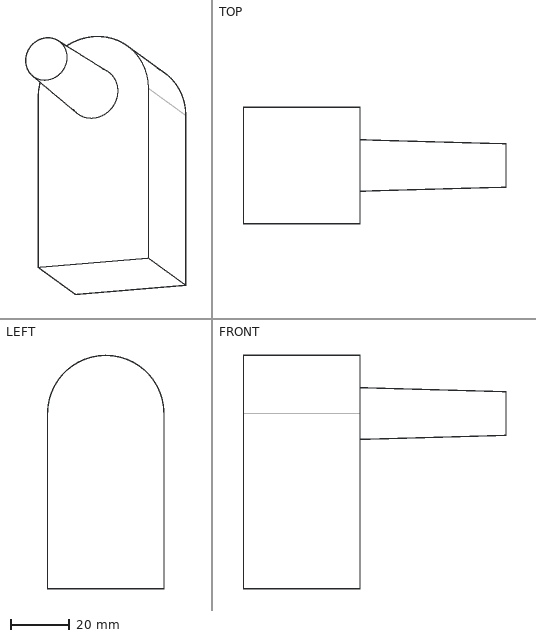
import cadquery as cq

total_length = 90.0
body_width = 40.0
body_height = 80.0
handle_base_diameter = 17.8
handle_tip_diameter = 15.0

crown_radius = body_width / 2
axis_height = body_height - crown_radius
handle_length = total_length - body_width


def make_body():
    """Square block with a half-round crown running along X."""
    return (
        cq.Workplane("YZ")
        .moveTo(-crown_radius, 0)
        .lineTo(crown_radius, 0)
        .lineTo(crown_radius, axis_height)
        .threePointArc((0, body_height), (-crown_radius, axis_height))
        .close()
        .extrude(body_width)
    )


def make_handle():
    """Tapered round handle on the crown axis, narrowing toward +X."""
    return cq.Workplane(
        cq.Solid.makeCone(
            handle_base_diameter / 2,
            handle_tip_diameter / 2,
            handle_length,
            pnt=cq.Vector(body_width, 0, axis_height),
            dir=cq.Vector(1, 0, 0),
        )
    )


result = make_body().union(make_handle())